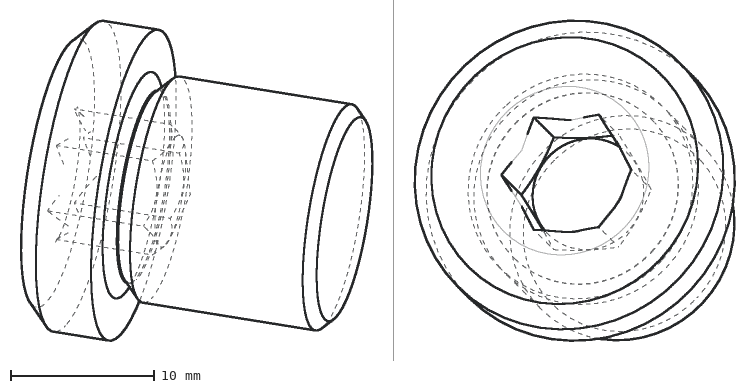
import cadquery as cq
import math

HEAD_DIAMETER = 22.0
HEAD_THICKNESS = 5.5
HEAD_CHAMFER = 1.5

TOTAL_LENGTH = 20.8
SHANK_DIAMETER = 16.02
SHANK_CHAMFER = 0.8

GROOVE_DEPTH = 1.19
GROOVE_FLOOR_WIDTH = 0.1
GROOVE_HEAD_SIDE_ANGLE = 60.0
GROOVE_SHANK_SIDE_ANGLE = 45.0

HEX_ACROSS_FLATS = 8.0
HEX_DEPTH = 7.5
HEX_ACROSS_CORNERS = HEX_ACROSS_FLATS / math.cos(math.radians(30))

BORE_DIAMETER = 7.92
MOUTH_DIAMETER = 12.01
MOUTH_FILLET = (MOUTH_DIAMETER - HEX_ACROSS_FLATS) / 2
CORNER_CONE_ANGLE = 45.0
DRILL_TIP_ANGLE = 140.0


def cone_length(radius_change, angle):
    """Axial length of a cone whose side leans by angle degrees from the axis."""
    return radius_change / math.tan(math.radians(angle))


SOCKET_END = HEX_DEPTH + cone_length((HEX_ACROSS_CORNERS - BORE_DIAMETER) / 2, CORNER_CONE_ANGLE)


def revolve_about_x(profile):
    """Full turn of an XZ profile about the X axis."""
    return profile.close().revolve(360, (0, 0, 0), (1, 0, 0))


def make_body():
    """Solid plug: chamfered head, V-shaped groove and chamfered shank."""
    head_radius = HEAD_DIAMETER / 2
    shank_radius = SHANK_DIAMETER / 2
    groove_radius = shank_radius - GROOVE_DEPTH
    floor_start = HEAD_THICKNESS + cone_length(GROOVE_DEPTH, GROOVE_HEAD_SIDE_ANGLE)
    floor_end = floor_start + GROOVE_FLOOR_WIDTH
    shank_start = floor_end + cone_length(GROOVE_DEPTH, GROOVE_SHANK_SIDE_ANGLE)
    profile = (
        cq.Workplane("XZ")
        .moveTo(0, 0)
        .lineTo(0, head_radius - HEAD_CHAMFER)
        .lineTo(HEAD_CHAMFER, head_radius)
        .lineTo(HEAD_THICKNESS, head_radius)
        .lineTo(HEAD_THICKNESS, shank_radius)
        .lineTo(floor_start, groove_radius)
        .lineTo(floor_end, groove_radius)
        .lineTo(shank_start, shank_radius)
        .lineTo(TOTAL_LENGTH - SHANK_CHAMFER, shank_radius)
        .lineTo(TOTAL_LENGTH, shank_radius - SHANK_CHAMFER)
        .lineTo(TOTAL_LENGTH, 0)
    )
    return revolve_about_x(profile)


def make_bore():
    """Round part of the socket: flared mouth, straight bore and conical tip."""
    bore_radius = BORE_DIAMETER / 2
    mouth_radius = MOUTH_DIAMETER / 2
    tip = SOCKET_END + cone_length(bore_radius, DRILL_TIP_ANGLE / 2)
    arc_offset = MOUTH_FILLET * math.sin(math.radians(45))
    profile = (
        cq.Workplane("XZ")
        .moveTo(0, 0)
        .lineTo(0, mouth_radius)
        .threePointArc(
            (MOUTH_FILLET - arc_offset, mouth_radius - arc_offset),
            (MOUTH_FILLET, HEX_ACROSS_FLATS / 2),
        )
        .lineTo(MOUTH_FILLET, bore_radius)
        .lineTo(SOCKET_END, bore_radius)
        .lineTo(tip, 0)
    )
    return revolve_about_x(profile)


def make_hexagon():
    """Hexagonal part of the socket, its corners running out along a cone."""
    bore_radius = BORE_DIAMETER / 2
    corner_radius = HEX_ACROSS_CORNERS / 2
    prism = cq.Workplane("YZ").polygon(6, HEX_ACROSS_CORNERS).extrude(SOCKET_END)
    envelope = (
        cq.Workplane("XZ")
        .moveTo(0, 0)
        .lineTo(0, corner_radius)
        .lineTo(HEX_DEPTH, corner_radius)
        .lineTo(SOCKET_END, bore_radius)
        .lineTo(SOCKET_END, 0)
    )
    return prism.intersect(revolve_about_x(envelope))


result = make_body().cut(make_bore()).cut(make_hexagon())